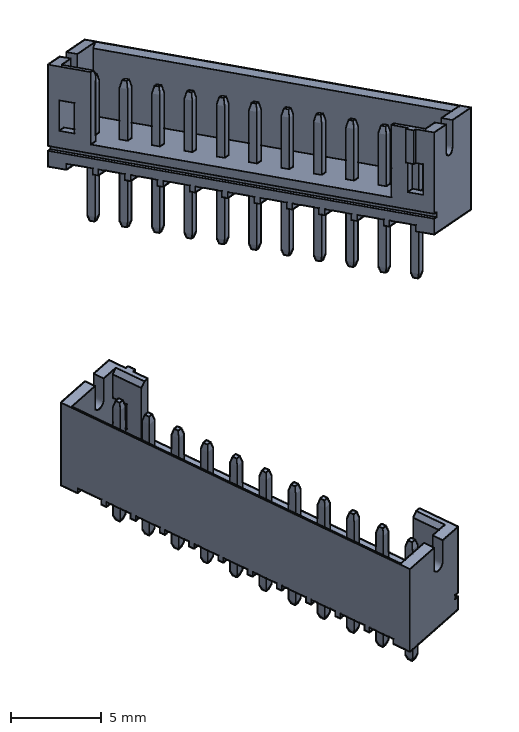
import cadquery as cq

length = 23.9
depth = 4.5
height = 6.0
end_wall = 0.7
back_wall = 0.35
front_wall = 0.6
floor_z = height - 4.25

bevel = 0.29

corner_length = 2.65
window_width = 0.95
window_height = 1.8
window_top = height - 1.98
rib_width = 0.5
rib_depth = 0.203

slot_width = 0.8
slot_depth = 1.94

groove_z = 0.93
groove_height = 0.29
groove_depth = 0.29

foot_height = 0.35
end_foot = 1.15
small_foot = 0.35

pin_count = 11
pin_row_length = 20.0
pin_width = 0.5
pin_y = 1.7
pin_top = height - 0.8
pin_bottom = -3.4
top_taper = 0.43
bottom_taper = 0.33
tip_width = 0.29

pitch = pin_row_length / (pin_count - 1)
pin_xs = [(i - (pin_count - 1) / 2) * pitch for i in range(pin_count)]
cavity_length = length - 2 * end_wall
slot_y = pin_y - pin_width / 2 + slot_width / 2


def block(x_center, x_size, y_min, y_max, z_min, z_max):
    """Box centred on x_center that fills the given Y and Z ranges."""
    return (
        cq.Workplane("XY")
        .box(x_size, y_max - y_min, z_max - z_min, centered=(True, False, False))
        .translate((x_center, y_min, z_min))
    )


def prism_along_x(points, x_size):
    """Extrude a (Y, Z) outline along X, centred on X = 0."""
    return cq.Workplane("YZ").polyline(points).close().extrude(x_size / 2, both=True)


def make_shell():
    """Trough with sloped wall tops and a wide opening in the front wall."""
    back_inner = depth - back_wall
    cavity = [
        (front_wall, floor_z),
        (back_inner, floor_z),
        (back_inner, height - bevel),
        (back_inner + bevel, height),
        (front_wall - bevel, height),
        (front_wall, height - bevel),
    ]
    shell = block(0, length, 0, depth, 0, height)
    shell = shell.cut(prism_along_x(cavity, cavity_length))
    opening_length = length - 2 * corner_length
    return shell.cut(block(0, opening_length, 0, front_wall, floor_z, height))


def cut_windows(body):
    """Latch windows through the front wall, flush with the end walls."""
    window_x = cavity_length / 2 - window_width / 2
    for x in (-window_x, window_x):
        body = body.cut(block(x, window_width, 0, front_wall, window_top - window_height, window_top))
    return body


def cut_end_slots(body):
    """Round-bottomed slot open at the top, through both end walls."""
    radius = slot_width / 2
    arc_z = height - slot_depth + radius
    slot = (
        cq.Workplane("YZ")
        .moveTo(slot_y - radius, height)
        .lineTo(slot_y - radius, arc_z)
        .threePointArc((slot_y, height - slot_depth), (slot_y + radius, arc_z))
        .lineTo(slot_y + radius, height)
        .close()
        .extrude(length / 2, both=True)
    )
    return body.cut(slot)


def cut_groove(body):
    return body.cut(block(0, length, 0, groove_depth, groove_z, groove_z + groove_height))


def cut_underside(body):
    """Raise the underside, leaving end feet and one small foot between each pair of pins."""
    recess = block(0, length - 2 * end_foot, 0, depth, 0, foot_height)
    for x in pin_xs[:-1]:
        recess = recess.cut(block(x + pitch / 2, small_foot, 0, depth, 0, foot_height))
    return body.cut(recess)


def make_key_rib():
    """Raised rib on the front face, above the inner side of the +X window."""
    x = cavity_length / 2 - window_width + rib_width / 2
    return block(x, rib_width, -rib_depth, 0, window_top, height)


def make_pin(x):
    """Square pin with a tapered tip at each end."""
    shaft_top = pin_top - top_taper
    shaft_bottom = pin_bottom + bottom_taper

    def tip(z, taper):
        return (
            cq.Workplane("XY", origin=(x, pin_y, z))
            .rect(pin_width, pin_width)
            .workplane(offset=taper)
            .rect(tip_width, tip_width)
            .loft()
        )

    half = pin_width / 2
    shaft = block(x, pin_width, pin_y - half, pin_y + half, shaft_bottom, shaft_top)
    shaft = shaft.union(tip(shaft_top, top_taper))
    return shaft.union(tip(shaft_bottom, -bottom_taper))


body = make_shell()
body = cut_windows(body)
body = cut_end_slots(body)
body = cut_groove(body)
body = cut_underside(body)
result = body.union(make_key_rib())
for pin_x in pin_xs:
    result = result.union(make_pin(pin_x))